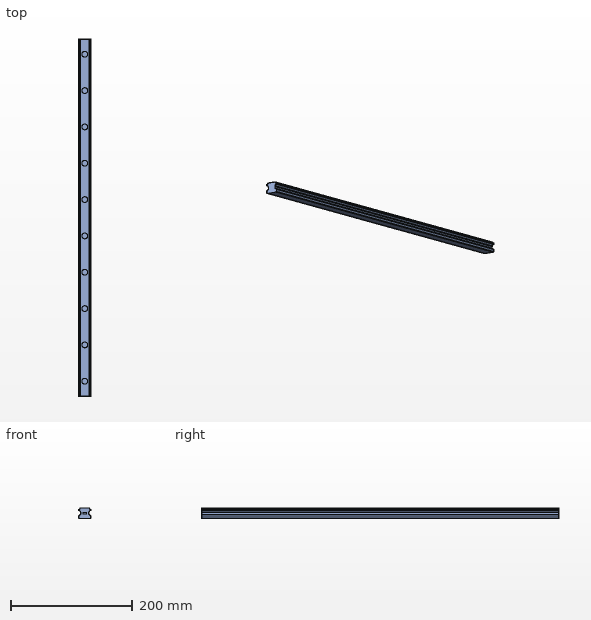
import cadquery as cq

rail_width = 20.0
rail_length = 590.0
rail_height = 17.5

half_width = rail_width / 2
base_chamfer = 0.95
foot_side_top = 4.5
neck_half_width = 6.8
neck_bottom = 7.0
neck_top = 9.7
lower_race_half_width = 7.4
lower_race_bottom = 10.8
head_side_bottom = 13.2
head_side_top = 15.2
race_lip_half_width = 7.9
race_lip_z = 16.8
top_half_width = 7.2
race_radius = 2.2

recess_count = 10
recess_pitch = 60.0
recess_diameter = 9.5
recess_depth = 0.2

end_recess_width = 6.3
end_recess_height = 2.4
end_recess_depth = 0.2


def make_rail_body():
    """Extrude half of the waisted section along Y and mirror it, centred on the origin."""
    half_section = (
        cq.Workplane("XZ")
        .lineTo(half_width - base_chamfer, 0)
        .lineTo(half_width, base_chamfer)
        .lineTo(half_width, foot_side_top)
        .lineTo(neck_half_width, neck_bottom)
        .lineTo(neck_half_width, neck_top)
        .lineTo(lower_race_half_width, lower_race_bottom)
        .radiusArc((half_width, head_side_bottom), race_radius)
        .lineTo(half_width, head_side_top)
        .radiusArc((race_lip_half_width, race_lip_z), race_radius)
        .lineTo(top_half_width, rail_height)
        .lineTo(0, rail_height)
        .close()
    )
    half_rail = half_section.extrude(rail_length / 2, both=True)
    return half_rail.union(half_rail.mirror("YZ"))


def make_top_recesses():
    """Round recesses sunk from the top face, evenly spaced along Y."""
    return (
        cq.Workplane("XY", origin=(0, 0, rail_height - recess_depth))
        .rarray(1, recess_pitch, 1, recess_count)
        .circle(recess_diameter / 2)
        .extrude(recess_depth)
    )


def make_end_recess():
    """Rectangular recess sunk into the -Y end face."""
    return (
        cq.Workplane("XZ", origin=(0, -rail_length / 2, rail_height / 2))
        .rect(end_recess_width, end_recess_height)
        .extrude(-end_recess_depth)
    )


result = make_rail_body().cut(make_top_recesses()).cut(make_end_recess())